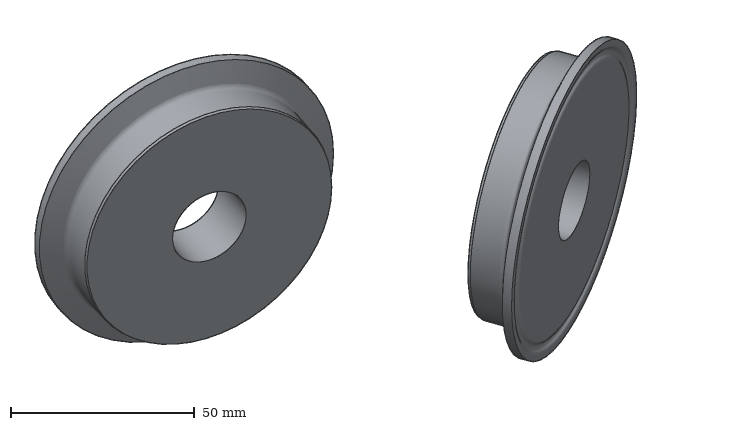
import cadquery as cq
import math

length = 15.9
flange_radius = 90.9 / 2
barrel_radius = 76.2 / 2
bore_diameter = 22.7

rim_width = 2.7
cone_angle = 20
root_fillet_radius = 1.55

end_bevel_length = 0.8
end_bevel_drop = 0.3

groove_radius = 41.7
groove_depth = 1.0
groove_outer_edge = 43.7
groove_inner_edge = 39.6
groove_bottom_radius = 1.5

edge_search_margin = 0.1


def revolve_about_x(outline):
    """Turn a closed XY outline, with Y as radius, about the X axis."""
    return outline.close().revolve(360, (0, 0, 0), (1, 0, 0))


def make_body():
    """Flange with conical back, followed by the barrel with a bevelled end."""
    cone_height = flange_radius - barrel_radius
    cone_end = rim_width + cone_height * math.tan(math.radians(cone_angle))
    body = revolve_about_x(
        cq.Workplane("XY")
        .lineTo(0, flange_radius)
        .lineTo(rim_width, flange_radius)
        .lineTo(cone_end, barrel_radius)
        .lineTo(length - end_bevel_length, barrel_radius)
        .lineTo(length, barrel_radius - end_bevel_drop)
        .lineTo(length, 0)
    )
    root_edge = cq.selectors.BoxSelector(
        (cone_end - edge_search_margin, -flange_radius, -flange_radius),
        (cone_end + edge_search_margin, flange_radius, flange_radius),
    )
    return body.edges(root_edge).fillet(root_fillet_radius)


def groove_side(edge_radius):
    """Return the joint, blend middle and edge points of one side of the groove.

    The round bottom and the blend are tangent to each other, and the blend is
    tangent to the face, so both arcs turn by the same angle.
    """
    width = abs(edge_radius - groove_radius)
    outward = math.copysign(1, edge_radius - groove_radius)
    turn = 2 * math.atan(groove_depth / width)
    blend_radius = width / math.sin(turn) - groove_bottom_radius

    def on_blend(angle):
        return (
            blend_radius * (1 - math.cos(angle)),
            edge_radius - outward * blend_radius * math.sin(angle),
        )

    return on_blend(turn), on_blend(turn / 2), on_blend(0)


def make_groove():
    """Ring-shaped cutter for the gasket groove in the flange face."""
    outer_joint, outer_blend, outer_edge = groove_side(groove_outer_edge)
    inner_joint, inner_blend, inner_edge = groove_side(groove_inner_edge)
    return revolve_about_x(
        cq.Workplane("XY")
        .moveTo(*outer_edge)
        .threePointArc(outer_blend, outer_joint)
        .threePointArc((groove_depth, groove_radius), inner_joint)
        .threePointArc(inner_blend, inner_edge)
    )


def make_bore():
    """Straight hole through the whole length of the part."""
    return cq.Workplane("YZ").circle(bore_diameter / 2).extrude(length)


result = make_body().cut(make_groove()).cut(make_bore())